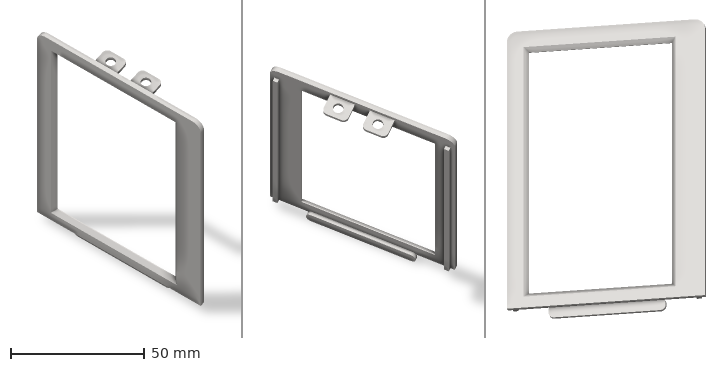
import cadquery as cq

frame_width = 76.0
tab_drop = 4.0
overall_height = 114.2
frame_height = overall_height - tab_drop
frame_thickness = 2.0
frame_corner_radius = 4.0

margin_left = 6.4
margin_right = 11.3
margin_top = 6.4
margin_bottom = 4.3
window_bevel = 1.7

back_layer = 1.5
rail_width = 1.9
rail_inset = 1.8
rail_top_gap = 6.2

tab_width = 44.9
tab_overlap = 1.0
tab_corner_radius = 2.0

lug_reach = 10.0
lug_width = 10.2
lug_thickness = 1.5
lug_top_gap = 1.7
lug_spacing = 16.3
lug_corner_radius = 2.0
lug_hole_diameter = 4.0
lug_hole_from_tip = 4.0


def box(x_min, y_min, z_min, x_size, y_size, z_size):
    """Box placed by its lowest corner."""
    return cq.Workplane("XY").box(x_size, y_size, z_size, centered=False).translate((x_min, y_min, z_min))


def make_frame():
    plate = box(-frame_width / 2, 0, 0, frame_width, frame_thickness, frame_height)
    return plate.edges("|Y and >Z").fillet(frame_corner_radius)


def make_window():
    """Opening with four walls bevelled from the front, then straight to the back face."""
    width = frame_width - margin_left - margin_right
    height = frame_height - margin_top - margin_bottom
    center_x = (margin_left - margin_right) / 2
    center_z = (frame_height + margin_bottom - margin_top) / 2
    throat_width = width - 2 * window_bevel
    throat_height = height - 2 * window_bevel
    bevel = (
        cq.Workplane("XZ", origin=(center_x, 0, center_z))
        .rect(width, height)
        .workplane(offset=-window_bevel)
        .rect(throat_width, throat_height)
        .loft(ruled=True)
    )
    throat = box(
        center_x - throat_width / 2,
        window_bevel,
        center_z - throat_height / 2,
        throat_width,
        frame_thickness - window_bevel,
        throat_height,
    )
    return bevel.union(throat)


def make_rail(x_min):
    return box(x_min, frame_thickness, 0, rail_width, back_layer, frame_height - rail_top_gap)


def make_tab():
    """Tongue lapped on the back of the plate and hanging below it, all corners rounded."""
    tab = box(-tab_width / 2, frame_thickness, -tab_drop, tab_width, back_layer, tab_drop + tab_overlap)
    return tab.edges("|Y").fillet(tab_corner_radius)


def make_lug(center_x):
    """Horizontal ear with a vertical hole, standing out from the back."""
    bottom = frame_height - lug_top_gap - lug_thickness
    length = lug_reach - frame_thickness
    lug = box(center_x - lug_width / 2, frame_thickness, bottom, lug_width, length, lug_thickness)
    lug = lug.edges("|Z and >Y").fillet(lug_corner_radius)
    hole = (
        cq.Workplane("XY", origin=(center_x, lug_reach - lug_hole_from_tip, bottom))
        .circle(lug_hole_diameter / 2)
        .extrude(lug_thickness)
    )
    return lug.cut(hole)


result = make_frame().cut(make_window())
for rail_x in (-frame_width / 2 + rail_inset, frame_width / 2 - rail_inset - rail_width):
    result = result.union(make_rail(rail_x))
result = result.union(make_tab())
for lug_x in (-lug_spacing / 2, lug_spacing / 2):
    result = result.union(make_lug(lug_x))